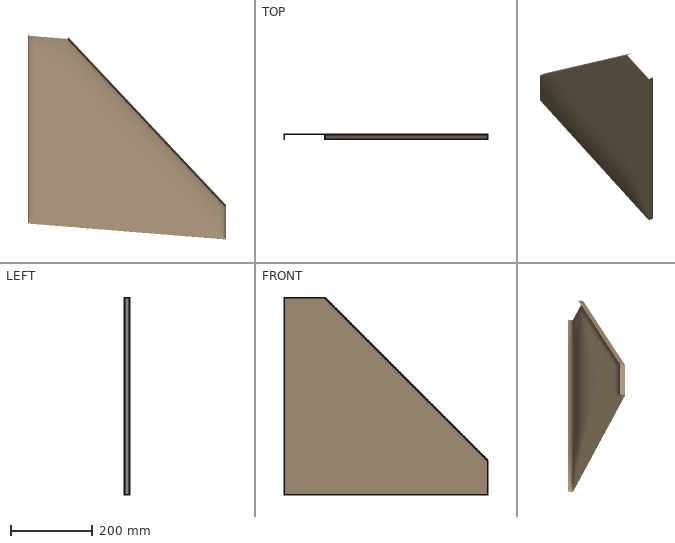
import cadquery as cq
import math

width = 500.0
depth = 12.5
height = 484.5
thickness = 0.5

top_edge_length = 100.0
slope_run = width - top_edge_length
right_edge_height = height - slope_run

front_y = 0.0
rear_y = depth


def extrude_outline(points, start_y, end_y):
    """Extrude an XZ outline from start_y to end_y along +Y."""
    return (
        cq.Workplane("XZ", origin=(0, start_y, 0))
        .polyline(points)
        .close()
        .extrude(start_y - end_y)
    )


bottom_left = (0, 0)
bottom_right = (width, 0)
slope_bottom = (width, right_edge_height)
slope_top = (top_edge_length, height)
top_left = (0, height)
outline = [bottom_left, bottom_right, slope_bottom, slope_top, top_left]

panel = extrude_outline(outline, rear_y - thickness, rear_y)

left_flange = cq.Workplane("XY").box(thickness, depth, height, centered=False)
right_flange = (
    cq.Workplane("XY")
    .box(thickness, depth, right_edge_height, centered=False)
    .translate((width - thickness, 0, 0))
)

square_cut = thickness * math.sin(math.radians(45))
slope_offset = thickness * math.sqrt(2)
slope_flange = extrude_outline(
    [
        slope_bottom,
        slope_top,
        (top_edge_length - square_cut, height - square_cut),
        (width - thickness, right_edge_height + thickness - slope_offset),
        (width - thickness, right_edge_height),
    ],
    front_y,
    rear_y,
)

result = panel.union(left_flange).union(right_flange).union(slope_flange)